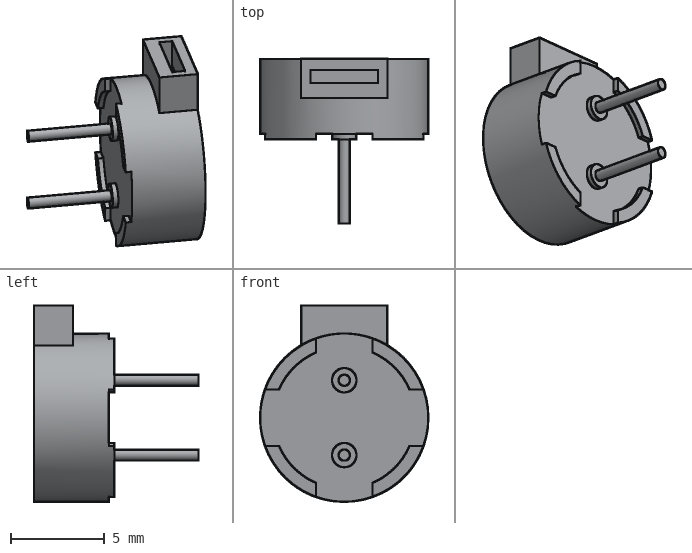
import cadquery as cq
import math


body_radius = 4.5
body_depth = 4.0
base_y = -body_depth

foot_height = 0.3
foot_inner_radius = 3.8
foot_gap = 3.0
foot_face_y = base_y - foot_height

pin_spacing = 4.0
pin_radius = 0.3
pin_length = 4.5
collar_radius = 0.65

outlet_width = 4.6
outlet_depth = 2.1
outlet_top_z = 6.0
outlet_back_y = 0.01
outlet_bottom_z = math.sqrt(body_radius**2 - (outlet_width / 2) ** 2)

slot_width = 3.6
slot_length = 0.7
slot_depth = 1.5
slot_back_wall = 0.6


def cylinder(radius, start_y, end_y, z=0):
    """Cylinder along Y that runs from start_y towards -Y, to end_y."""
    plane = cq.Workplane("XZ", origin=(0, start_y, z))
    return plane.circle(radius).extrude(start_y - end_y)


def block(width, back_y, depth, bottom_z, top_z):
    """Box centred on X that runs from back_y towards -Y."""
    return (
        cq.Workplane("XY", origin=(0, back_y - depth / 2, bottom_z))
        .rect(width, depth)
        .extrude(top_z - bottom_z)
    )


def make_base_recess():
    """Space between the feet: a round recess crossed by the two gaps."""
    diameter = 2 * body_radius
    recess = cylinder(foot_inner_radius, base_y, foot_face_y)
    vertical_gap = block(foot_gap, base_y, foot_height, -body_radius, body_radius)
    horizontal_gap = block(diameter, base_y, foot_height, -foot_gap / 2, foot_gap / 2)
    return recess.union(vertical_gap).union(horizontal_gap)


def make_pin(z):
    collar = cylinder(collar_radius, base_y, foot_face_y, z)
    pin = cylinder(pin_radius, base_y, foot_face_y - pin_length, z)
    return collar.union(pin)


def make_outlet():
    return block(outlet_width, outlet_back_y, outlet_depth, outlet_bottom_z, outlet_top_z)


def make_slot():
    slot_back_y = outlet_back_y - slot_back_wall
    return block(slot_width, slot_back_y, slot_length, outlet_top_z - slot_depth, outlet_top_z)


result = cylinder(body_radius, 0, foot_face_y).cut(make_base_recess())
result = result.union(make_outlet()).cut(make_slot())
for pin_z in (-pin_spacing / 2, pin_spacing / 2):
    result = result.union(make_pin(pin_z))